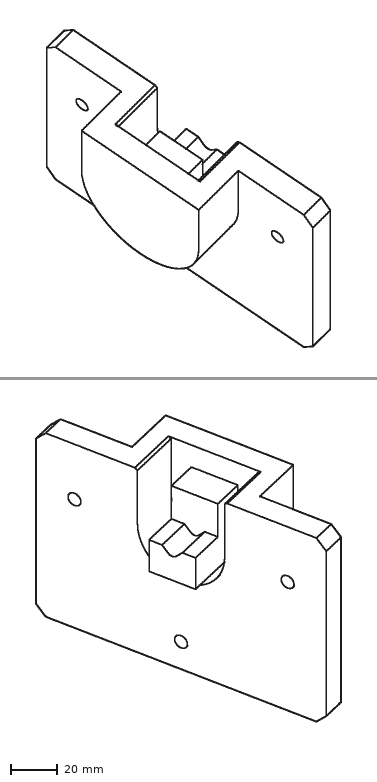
import cadquery as cq
import math

plate_width = 150.0
plate_height = 100.0
plate_thickness = 12.0
corner_chamfer = 5.1

housing_radius = 33.0
arc_center_z = -30.0
spacer_depth = 15.0
cover_thickness = 12.0
cover_back_y = -spacer_depth

cavity_radius = 22.5
lead_in_width = 1.4
lead_in_depth = 0.9

hook_width = 24.0
post_top_z = -12.0
hook_bottom_z = -47.1
arm_top_z = arc_center_z
post_back_y = 1.0
arm_overhang = 7.0
arm_back_y = plate_thickness + arm_overhang

groove_width = 10.5
groove_flank_angle = 45.0
groove_radius = 2.8

hole_diameter = 6.6
side_hole_x = 55.0
side_hole_z = arc_center_z
low_hole_z = -85.0


def xz_prism(profile, front_y, back_y):
    """Extrude a profile drawn at Y = 0 in the XZ plane between two Y positions."""
    return profile.extrude(back_y - front_y).translate((0, back_y, 0))


def u_profile(radius):
    """Straight-sided outline with a flat top edge and a semicircular bottom."""
    return (
        cq.Workplane("XZ")
        .moveTo(-radius, 0)
        .lineTo(-radius, arc_center_z)
        .threePointArc((0, arc_center_z - radius), (radius, arc_center_z))
        .lineTo(radius, 0)
        .close()
    )


def block(width, front_y, back_y, bottom_z, top_z):
    """Box centred on X, given by its limits in Y and Z."""
    return cq.Workplane("XY").box(
        width, back_y - front_y, top_z - bottom_z, centered=(True, False, False)
    ).translate((0, front_y, bottom_z))


def make_plate():
    plate = block(plate_width, 0, plate_thickness, -plate_height, 0)
    return plate.edges("|Y").chamfer(corner_chamfer)


def make_cavity():
    slot = xz_prism(u_profile(cavity_radius), cover_back_y, plate_thickness)
    flare = (
        cq.Workplane("XZ")
        .moveTo(-cavity_radius - lead_in_width, 0)
        .lineTo(cavity_radius + lead_in_width, 0)
        .lineTo(cavity_radius, -lead_in_depth)
        .lineTo(-cavity_radius, -lead_in_depth)
        .close()
    )
    return slot.union(xz_prism(flare, cover_back_y, plate_thickness))


def make_groove():
    half_width = groove_width / 2
    flank = math.radians(groove_flank_angle)
    arc_half_width = groove_radius * math.sin(flank)
    flank_depth = (half_width - arc_half_width) * math.tan(flank)
    arc_depth = groove_radius * (1 - math.cos(flank))
    profile = (
        cq.Workplane("XZ")
        .moveTo(-half_width, arm_top_z)
        .lineTo(-arc_half_width, arm_top_z - flank_depth)
        .threePointArc(
            (0, arm_top_z - flank_depth - arc_depth),
            (arc_half_width, arm_top_z - flank_depth),
        )
        .lineTo(half_width, arm_top_z)
        .close()
    )
    return xz_prism(profile, post_back_y, arm_back_y)


def make_hook():
    post = block(hook_width, cover_back_y, post_back_y, hook_bottom_z, post_top_z)
    arm = block(hook_width, post_back_y, arm_back_y, hook_bottom_z, arm_top_z)
    return post.union(arm).cut(make_groove())


def make_screw_holes():
    centers = [(-side_hole_x, side_hole_z), (side_hole_x, side_hole_z), (0, low_hole_z)]
    circles = cq.Workplane("XZ").pushPoints(centers).circle(hole_diameter / 2)
    return xz_prism(circles, 0, plate_thickness)


spacer = xz_prism(u_profile(housing_radius), cover_back_y, 0)
cover = xz_prism(u_profile(housing_radius), cover_back_y - cover_thickness, cover_back_y)

result = (
    make_plate()
    .union(spacer)
    .cut(make_cavity())
    .union(cover)
    .union(make_hook())
    .cut(make_screw_holes())
)